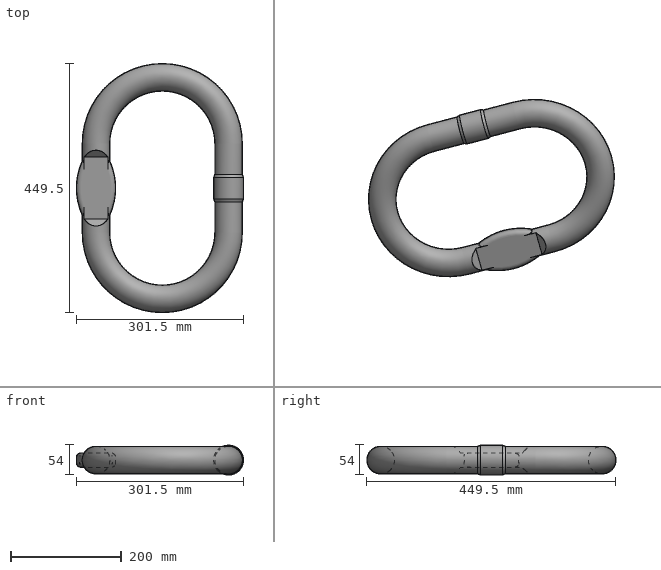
import cadquery as cq
import math

LINK_LENGTH = 449.5
BAR_DIAMETER = 50.0
BEND_RADIUS = 119.5
STRAIGHT_LENGTH = LINK_LENGTH - 2 * BEND_RADIUS - BAR_DIAMETER

COLLAR_DIAMETER = 54.0
COLLAR_LENGTH = 50.0
COLLAR_TAPER_LENGTH = 5.5

FLAT_THICKNESS = 26.0
FLAT_LENGTH = 112.5
FLAT_END_STEP = 2.2
FLAT_END_STEP_RUN = 1.5
FLAT_OPENING_LENGTH = 136.5

BULGE_WIDTH = 71.0
BULGE_ARC_RADIUS = 117.0
BULGE_END_WIDTH = 36.0
BULGE_EDGE_RADIUS = 8.5


def make_bar_loop():
    half_straight = STRAIGHT_LENGTH / 2
    path = (
        cq.Workplane("XY")
        .moveTo(BEND_RADIUS, -half_straight)
        .lineTo(BEND_RADIUS, half_straight)
        .threePointArc((0, half_straight + BEND_RADIUS), (-BEND_RADIUS, half_straight))
        .lineTo(-BEND_RADIUS, -half_straight)
        .threePointArc((0, -half_straight - BEND_RADIUS), (BEND_RADIUS, -half_straight))
        .close()
    )
    section = cq.Workplane("XZ", origin=(BEND_RADIUS, -half_straight, 0)).circle(BAR_DIAMETER / 2)
    return section.sweep(path)


def make_collar():
    """Ring with tapered ends, revolved about the +X leg."""
    half_length = COLLAR_LENGTH / 2
    half_land = half_length - COLLAR_TAPER_LENGTH
    profile = [
        (0, -half_length),
        (BAR_DIAMETER / 2, -half_length),
        (COLLAR_DIAMETER / 2, -half_land),
        (COLLAR_DIAMETER / 2, half_land),
        (BAR_DIAMETER / 2, half_length),
        (0, half_length),
    ]
    return (
        cq.Workplane("XY", origin=(BEND_RADIUS, 0, 0))
        .polyline(profile)
        .close()
        .revolve(360, (0, 0), (0, 1))
    )


def make_flat_cutter():
    """Prism with stepped, ramped ends that removes the bar above the upper flat."""
    ramp_foot = FLAT_LENGTH / 2 + FLAT_END_STEP_RUN
    profile = [
        (-FLAT_LENGTH / 2, FLAT_THICKNESS / 2),
        (FLAT_LENGTH / 2, FLAT_THICKNESS / 2),
        (ramp_foot, FLAT_THICKNESS / 2 + FLAT_END_STEP),
        (FLAT_OPENING_LENGTH / 2, BAR_DIAMETER / 2),
        (-FLAT_OPENING_LENGTH / 2, BAR_DIAMETER / 2),
        (-ramp_foot, FLAT_THICKNESS / 2 + FLAT_END_STEP),
    ]
    return (
        cq.Workplane("YZ", origin=(-BEND_RADIUS, 0, 0))
        .polyline(profile)
        .close()
        .extrude(BAR_DIAMETER / 2, both=True)
    )


def make_bulge():
    """Plate with two arced, rounded sides, flush with both flats."""
    half_width = BULGE_WIDTH / 2
    half_end = BULGE_END_WIDTH / 2
    arc_rise = half_width - half_end
    half_length = math.sqrt(BULGE_ARC_RADIUS**2 - (BULGE_ARC_RADIUS - arc_rise) ** 2)
    return (
        cq.Workplane("XY", origin=(-BEND_RADIUS, 0, -FLAT_THICKNESS / 2))
        .moveTo(half_end, -half_length)
        .threePointArc((half_width, 0), (half_end, half_length))
        .lineTo(-half_end, half_length)
        .threePointArc((-half_width, 0), (-half_end, -half_length))
        .close()
        .extrude(FLAT_THICKNESS)
        .edges("%CIRCLE")
        .fillet(BULGE_EDGE_RADIUS)
    )


flat_cutter = make_flat_cutter()
flattened_loop = make_bar_loop().cut(flat_cutter).cut(flat_cutter.mirror("XY"))
result = flattened_loop.union(make_collar()).union(make_bulge())